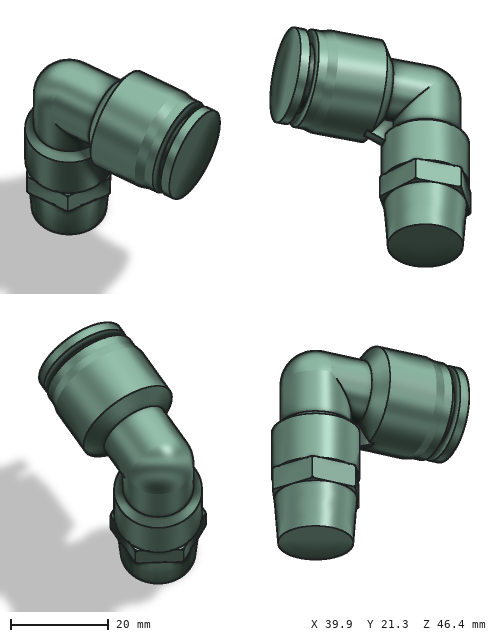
import cadquery as cq
import math

total_height = 46.4
elbow_diameter = 14.5

thread_end_diameter = 15.4
thread_root_diameter = 16.9
thread_top = 10.0
hex_across_flats = 17.0
hex_bevel_diameter = 19.2
hex_bevel_height = 0.32
hex_top = 15.05
collar_diameter = 18.0
collar_top = 25.0
collar_cone_top = 26.45

socket_diameter = 21.3
socket_cone_start = 9.25
socket_start = 11.7
socket_taper_start = 22.25
rim_diameter = 20.3
rim_start = 24.25
rim_end = 26.2
neck_diameter = 14.7
flange_start = 28.03
flange_end = 30.05
flange_diameter = 19.8
socket_height = total_height - socket_diameter / 2

gusset_thickness = 2.0
gusset_stem_z = 23.45
gusset_socket_x = 12.85


def radial_profile(steps):
    """Close a list of (diameter, station) steps against the axis."""
    outline = [(diameter / 2, station) for diameter, station in steps]
    return [(0, steps[0][1])] + outline + [(0, steps[-1][1])]


def make_stem():
    steps = [
        (thread_end_diameter, 0),
        (thread_root_diameter, thread_top),
        (thread_root_diameter, hex_top),
        (collar_diameter, hex_top),
        (collar_diameter, collar_top),
        (elbow_diameter, collar_cone_top),
        (elbow_diameter, socket_height),
    ]
    return cq.Workplane("XZ").polyline(radial_profile(steps)).close().revolve(360, (0, 0), (0, 1))


def make_hex():
    """Wrench hexagon with corners on the X axis, bevelled at both ends."""
    across_corners = hex_across_flats / math.cos(math.pi / 6)
    prism = (
        cq.Workplane("XY", origin=(0, 0, thread_top))
        .polygon(6, across_corners)
        .extrude(hex_top - thread_top)
    )
    bevel_steps = [
        (hex_bevel_diameter, thread_top),
        (across_corners, thread_top + hex_bevel_height),
        (across_corners, hex_top - hex_bevel_height),
        (hex_bevel_diameter, hex_top),
    ]
    bevel = cq.Workplane("XZ").polyline(radial_profile(bevel_steps)).close().revolve(360, (0, 0), (0, 1))
    return prism.intersect(bevel)


def make_socket():
    steps = [
        (elbow_diameter, 0),
        (elbow_diameter, socket_cone_start),
        (socket_diameter, socket_start),
        (socket_diameter, socket_taper_start),
        (rim_diameter, rim_start),
        (rim_diameter, rim_end),
        (neck_diameter, rim_end),
        (neck_diameter, flange_start),
        (flange_diameter, flange_start),
        (flange_diameter, flange_end),
    ]
    outline = [(station, -radius) for radius, station in radial_profile(steps)]
    return (
        cq.Workplane("XZ", origin=(0, 0, socket_height))
        .polyline(outline)
        .close()
        .revolve(360, (0, 0), (1, 0))
    )


def make_elbow_ball():
    return cq.Workplane("XY", origin=(0, 0, socket_height)).sphere(elbow_diameter / 2)


def make_gusset():
    """Thin web in the XZ plane; its inner corner is buried in the elbow."""
    socket_bottom = socket_height - socket_diameter / 2
    outline = [
        (0, socket_height),
        (0, gusset_stem_z),
        (collar_diameter / 2, gusset_stem_z),
        (gusset_socket_x, socket_bottom),
        (gusset_socket_x, socket_height),
    ]
    return cq.Workplane("XZ").polyline(outline).close().extrude(gusset_thickness / 2, both=True)


result = (
    make_stem()
    .union(make_hex())
    .union(make_socket())
    .union(make_elbow_ball())
    .union(make_gusset())
)